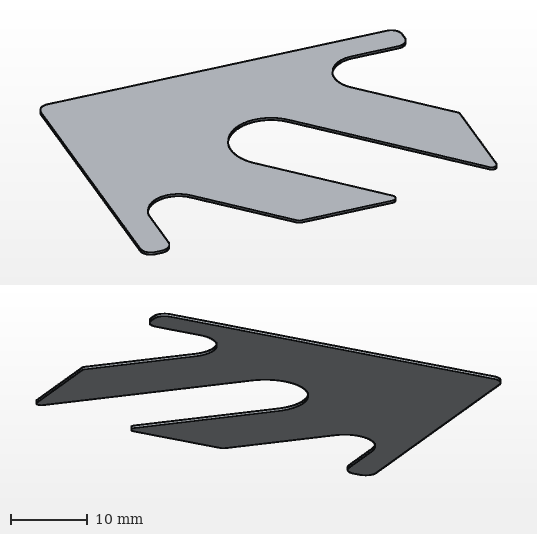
import cadquery as cq
import math

width = 38.1
height = 50.8
thickness = 0.38

arm_width = 4.0
notch_radius = 4.0
notch_depth = 12.1
slot_radius = 5.65

arm_corner_radius = 1.5
prong_tip_radius = 0.65
prong_shoulder_radius = 0.65

diagonal = math.sqrt(0.5)

slot_x = width / 2
slot_y = height / 2
slot_offset = slot_radius * diagonal

notch_offset = notch_radius * diagonal
arc_point_angle = math.radians(22.5)
arc_near = notch_radius * math.sin(arc_point_angle)
arc_far = notch_radius * math.cos(arc_point_angle)
top_notch_x = arm_width + notch_radius
top_notch_y = height - notch_depth + notch_radius
side_notch_x = width - notch_depth + notch_radius
side_notch_y = arm_width + notch_radius

top_shoulder = (top_notch_x + notch_offset + height - top_notch_y + notch_offset, height)
top_tip = (slot_x - slot_offset + height - slot_y - slot_offset, height)
side_tip = (width, slot_y - slot_offset + width - slot_x - slot_offset)
side_shoulder = (width, side_notch_y + notch_offset + width - side_notch_x + notch_offset)


def plate():
    """Plate outline with two edge arms and two diagonal prongs."""
    outline = (
        cq.Workplane("XY")
        .moveTo(0, 0)
        .lineTo(0, height)
        .lineTo(arm_width, height)
        .lineTo(arm_width, top_notch_y)
        .threePointArc(
            (top_notch_x - arc_near, top_notch_y - arc_far),
            (top_notch_x + notch_offset, top_notch_y - notch_offset),
        )
        .lineTo(*top_shoulder)
        .lineTo(*top_tip)
        .lineTo(slot_x - slot_offset, slot_y + slot_offset)
        .threePointArc(
            (slot_x - slot_offset, slot_y - slot_offset),
            (slot_x + slot_offset, slot_y - slot_offset),
        )
        .lineTo(*side_tip)
        .lineTo(*side_shoulder)
        .lineTo(side_notch_x - notch_offset, side_notch_y + notch_offset)
        .threePointArc(
            (side_notch_x - arc_far, side_notch_y - arc_near),
            (side_notch_x, arm_width),
        )
        .lineTo(width, arm_width)
        .lineTo(width, 0)
        .close()
    )
    return outline.extrude(thickness)


def round_corners(body, corners, radius):
    """Round the upright edges standing at the given corner points."""
    for x, y in corners:
        body = body.edges(cq.NearestToPointSelector((x, y, thickness / 2))).fillet(radius)
    return body


arm_corners = [(0, 0), (0, height), (arm_width, height), (width, arm_width), (width, 0)]

result = plate()
result = round_corners(result, arm_corners, arm_corner_radius)
result = round_corners(result, [top_tip, side_tip], prong_tip_radius)
result = round_corners(result, [top_shoulder, side_shoulder], prong_shoulder_radius)